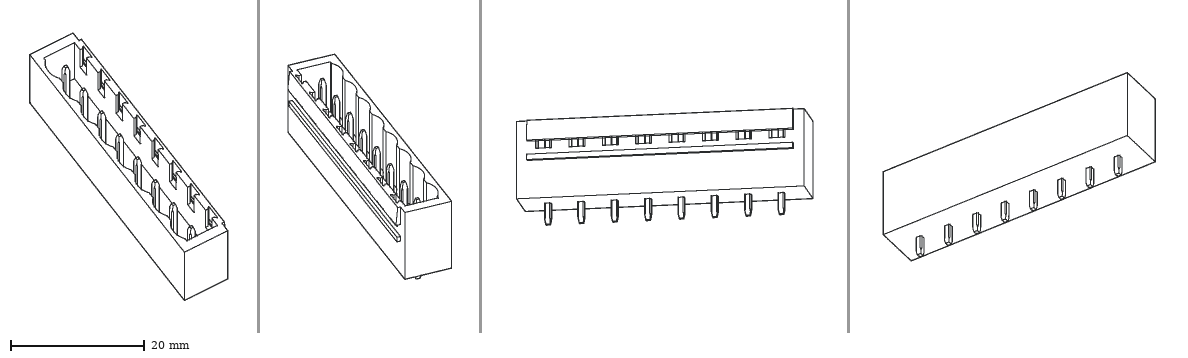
import cadquery as cq

LENGTH = 43.85
DEPTH = 7.67
HEIGHT = 12.0

PIN_COUNT = 8
PIN_ROW_LENGTH = 35.55
PITCH = PIN_ROW_LENGTH / (PIN_COUNT - 1)
PIN_Y = 3.8
PIN_WIDTH = 1.0
PIN_CORNER = 0.18
PIN_TOP = 11.0
TIP_WIDTH = 0.45
TIP_LENGTH = 1.23
PIN_BOTTOM = -3.2
TAIL_WIDTH = 0.6
TAIL_LENGTH = 0.95
PIN_XS = [(i - (PIN_COUNT - 1) / 2) * PITCH for i in range(PIN_COUNT)]

CAVITY_LENGTH = 40.5
FRONT_WALL = 1.45
BACK_WALL = 0.8
FLOOR = 3.05
SCALLOP_WALL = 0.7
SCALLOP_RADIUS = PIN_Y - SCALLOP_WALL

RAIL_HEIGHT = 3.15
RAIL_TOP_REACH = 0.45
RAIL_BOTTOM_REACH = 0.75

RIB_TOP = 6.7
RIB_HEIGHT = 0.85
RIB_REACH = 0.55

GROOVE_HEIGHT = 4.3
GROOVE_OUTER_WIDTH = 2.4
GROOVE_MOUTH_WIDTH = 1.8
GROOVE_LIP = 0.1


def box(x_size, y_min, y_max, z_min, z_max):
    """Box centred on x = 0 between the given y and z limits."""
    block = cq.Workplane("XY").box(x_size, y_max - y_min, z_max - z_min, centered=(True, False, False))
    return block.translate((0, y_min, z_min))


def make_scallop(x):
    """Upright cylinder around a pin axis, kept only where it hollows the front wall."""
    cylinder = (
        cq.Workplane("XY", origin=(x, PIN_Y, FLOOR))
        .circle(SCALLOP_RADIUS)
        .extrude(HEIGHT - FLOOR)
    )
    front_part = box(LENGTH, 0, FRONT_WALL, FLOOR, HEIGHT)
    return cylinder.intersect(front_part)


def make_rail():
    bottom = HEIGHT - RAIL_HEIGHT
    profile = [
        (DEPTH, bottom),
        (DEPTH + RAIL_BOTTOM_REACH, bottom),
        (DEPTH + RAIL_TOP_REACH, HEIGHT),
        (DEPTH, HEIGHT),
    ]
    start = cq.Workplane("YZ", origin=(-CAVITY_LENGTH / 2, 0, 0))
    return start.polyline(profile).close().extrude(CAVITY_LENGTH)


def make_groove(x):
    outer = GROOVE_OUTER_WIDTH / 2
    mouth = GROOVE_MOUTH_WIDTH / 2
    lip_y = DEPTH - GROOVE_LIP
    neck_y = lip_y - (outer - mouth)
    right_half = [
        (mouth, DEPTH - BACK_WALL),
        (mouth, neck_y),
        (outer, lip_y),
        (outer, DEPTH),
    ]
    left_half = [(-px, py) for px, py in reversed(right_half)]
    start = cq.Workplane("XY", origin=(x, 0, HEIGHT - GROOVE_HEIGHT))
    return start.polyline(right_half + left_half).close().extrude(GROOVE_HEIGHT)


def make_housing(pins):
    housing = box(LENGTH, 0, DEPTH, 0, HEIGHT)
    housing = housing.union(make_rail())
    housing = housing.union(box(CAVITY_LENGTH, DEPTH, DEPTH + RIB_REACH, RIB_TOP - RIB_HEIGHT, RIB_TOP))
    housing = housing.cut(box(CAVITY_LENGTH, FRONT_WALL, DEPTH - BACK_WALL, FLOOR, HEIGHT))
    for x in PIN_XS:
        housing = housing.cut(make_scallop(x)).cut(make_groove(x))
    for pin in pins:
        housing = housing.cut(pin)
    return housing


def make_pin(x):
    """Chamfered square bar, trimmed to the same tapered outline from the front and from the side."""
    right_half = [
        (TAIL_WIDTH / 2, PIN_BOTTOM),
        (PIN_WIDTH / 2, PIN_BOTTOM + TAIL_LENGTH),
        (PIN_WIDTH / 2, PIN_TOP - TIP_LENGTH),
        (TIP_WIDTH / 2, PIN_TOP),
    ]
    left_half = [(-across, z) for across, z in reversed(right_half)]
    outline = right_half + left_half
    front_trim = cq.Workplane("XZ").polyline(outline).close().extrude(PIN_WIDTH / 2, both=True)
    side_trim = cq.Workplane("YZ").polyline(outline).close().extrude(PIN_WIDTH / 2, both=True)
    bar = box(PIN_WIDTH, -PIN_WIDTH / 2, PIN_WIDTH / 2, PIN_BOTTOM, PIN_TOP)
    pin = bar.edges("|Z").chamfer(PIN_CORNER).intersect(front_trim).intersect(side_trim)
    return pin.translate((x, PIN_Y, 0))


contact_pins = [make_pin(x) for x in PIN_XS]
housing = make_housing(contact_pins)

result = cq.Compound.makeCompound([housing.solids().val(), *[pin.solids().val() for pin in contact_pins]])